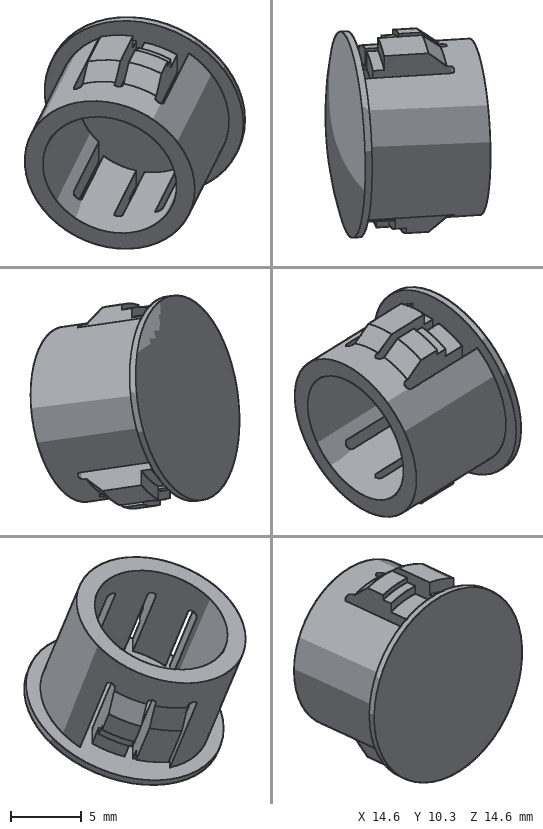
import cadquery as cq
import math

cap_radius = 7.3
rim_thickness = 0.5
dome_height = 1.1

tube_outer_radius = 6.25
tube_inner_radius = 4.9
tube_length = 8.7

slot_width = 0.61
tab_width = 2.4
window_width = 2 * tab_width + 3 * slot_width
slot_depth = 6.69
cap_gap = 0.9

step_length = 0.8
middle_radius = 6.86
crest_radius = 7.21
first_step = cap_gap + step_length
second_step = first_step + step_length
third_step = second_step + step_length
ramp_start = 4.89
ramp_end = 6.2


def make_cap():
    """Thin disc with a spherical dome."""
    dome_radius = (cap_radius**2 + dome_height**2) / (2 * dome_height)
    dome_center_y = rim_thickness + dome_height - dome_radius
    half_x = cap_radius / 2
    dome_middle = (half_x, dome_center_y + math.sqrt(dome_radius**2 - half_x**2))
    return (
        cq.Workplane("XY")
        .lineTo(cap_radius, 0)
        .lineTo(cap_radius, rim_thickness)
        .threePointArc(dome_middle, (0, rim_thickness + dome_height))
        .close()
        .revolve(360, (0, 0), (0, 1))
    )


def make_tube():
    """Open tube running from the cap underside to -Y."""
    return (
        cq.Workplane("XZ")
        .circle(tube_outer_radius)
        .circle(tube_inner_radius)
        .extrude(tube_length)
    )


def make_window_cutter():
    """Gap beside the cap and three slots, cutting through both sides of the tube."""
    through = 2 * cap_radius
    cutter = cq.Workplane("XY").box(window_width, cap_gap, through).translate((0, -cap_gap / 2, 0))
    straight_length = slot_depth - slot_width / 2
    for index in (-1, 0, 1):
        x = index * (tab_width + slot_width)
        slot = (
            cq.Workplane("XY", origin=(x, 0, -through / 2))
            .moveTo(-slot_width / 2, 0)
            .lineTo(-slot_width / 2, -straight_length)
            .threePointArc((0, -slot_depth), (slot_width / 2, -straight_length))
            .lineTo(slot_width / 2, 0)
            .close()
            .extrude(through)
        )
        cutter = cutter.union(slot)
    return cutter


def make_tab(center_x, steps):
    """Raised tab on the +Z side; steps lists (axial distance, radius) up to the crest."""
    radius = tube_outer_radius
    profile = [(tube_inner_radius, -cap_gap), (radius, -cap_gap)]
    for distance, next_radius in steps:
        profile += [(radius, -distance), (next_radius, -distance)]
        radius = next_radius
    profile += [
        (crest_radius, -ramp_start),
        (tube_outer_radius, -ramp_end),
        (tube_inner_radius, -ramp_end),
    ]
    ring = cq.Workplane("XY").polyline(profile).close().revolve(360, (0, 0), (0, 1))
    keep = cq.Workplane("XY").box(tab_width, 2 * tube_length, cap_radius)
    return ring.intersect(keep.translate((center_x, 0, cap_radius / 2)))


tab_offset = (tab_width + slot_width) / 2
single_step_tab = make_tab(-tab_offset, [(first_step, crest_radius)])
double_step_tab = make_tab(
    tab_offset,
    [(second_step, middle_radius), (third_step, crest_radius)],
)

result = make_tube().cut(make_window_cutter()).union(make_cap())
for angle in (0, 180):
    for tab in (single_step_tab, double_step_tab):
        result = result.union(tab.rotate((0, 0, 0), (0, 1, 0), angle))